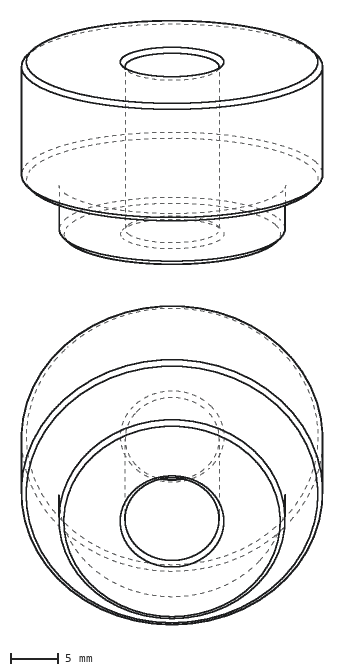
import cadquery as cq

head_diameter = 32.0
spigot_diameter = 24.0
bore_diameter = 10.0
total_height = 19.0
head_height = 13.0
spigot_height = total_height - head_height

edge_chamfer = 0.5
root_fillet = 0.8

spigot = cq.Workplane("XY").circle(spigot_diameter / 2).extrude(spigot_height)
spigot = spigot.faces("<Z").chamfer(edge_chamfer)
head = cq.Workplane("XY").workplane(offset=spigot_height).circle(head_diameter / 2).extrude(head_height)
head = head.edges().chamfer(edge_chamfer)
body = spigot.union(head)

root_corner = cq.selectors.RadiusNthSelector(0)
body = body.edges(cq.selectors.BoxSelector(
    (-spigot_diameter, -spigot_diameter, spigot_height - edge_chamfer / 2),
    (spigot_diameter, spigot_diameter, spigot_height + edge_chamfer / 2),
)).edges(root_corner).fillet(root_fillet)

result = body.faces(">Z").workplane().hole(bore_diameter)
result = result.faces("<Z or >Z").edges(cq.selectors.RadiusNthSelector(0)).chamfer(edge_chamfer)